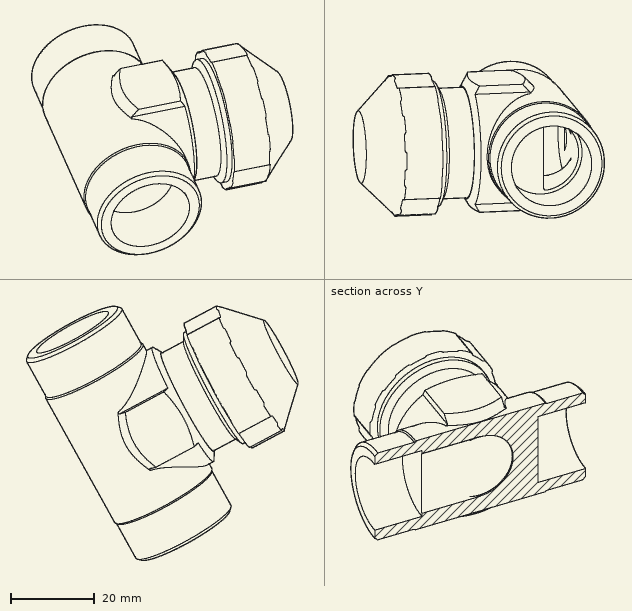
import cadquery as cq
import math


trim_clearance = 0.55

run_length = 56.0
spigot_radius = 13.0
spigot_edge_chamfer = 0.8
sleeve_radius = 13.3
sleeve_length = 34.4
sleeve_cone_length = 0.4

bore_radius = 9.75
bore_depth = 12.55
port_radius = 8.9
port_top_y = -0.45
port_corner_fillet = 0.55
chamber_radius = 8.7
chamber_floor_y = -8.4

hub_radius = 15.45
hub_root_y = -2.8
hub_bottom_y = 1.45
hub_shoulder_y = 14.7
hub_top_y = 15.95
hub_top_radius = 13.45
flat_width = 15.2

neck_radius = 13.2
collar_radius = 15.0
collar_cone_bottom_y = 22.0
collar_cone_top_y = 22.95
nut_bottom_y = 24.25

nut_top_y = 41.3
nut_diameter = 34.0
nut_radius = nut_diameter / 2
nut_top_radius = 8.6
nut_root_radius = 16.6
nut_cone_bottom_y = nut_top_y - (nut_root_radius - nut_top_radius)
rib_chamfer_height = 0.35
rib_count = 12
rib_pitch = 360 / rib_count
groove_floor_half_angle = 6.0
groove_flank_half_angle = 7.5
groove_mouth_half_angle = 9.0


def revolve_about_branch(points):
    """Solid of revolution about Y from an outline of (radius, y) points."""
    return cq.Workplane("XY").polyline(points).close().revolve(360, (0, 0, 0), (0, 1, 0))


def cylinder_along_x(radius, start_x, length):
    return cq.Workplane("YZ").workplane(offset=start_x).circle(radius).extrude(length)


def make_run_pipe():
    spigots = cylinder_along_x(spigot_radius, -run_length / 2, run_length)
    spigots = spigots.faces("<X or >X").chamfer(spigot_edge_chamfer)
    shoulder_x = sleeve_length / 2
    foot_x = shoulder_x + sleeve_cone_length
    sleeve = (
        cq.Workplane("XY")
        .polyline([
            (-foot_x, 0), (-foot_x, spigot_radius), (-shoulder_x, sleeve_radius),
            (shoulder_x, sleeve_radius), (foot_x, spigot_radius), (foot_x, 0),
        ])
        .close()
        .revolve(360, (0, 0, 0), (1, 0, 0))
    )
    return spigots.union(sleeve)


def make_hub():
    """Round hub plus a block with two flats, both trimmed by the same pair of cones."""
    corner_radius = math.hypot(flat_width / 2, hub_radius) + trim_clearance
    overhang = corner_radius - hub_radius
    top_slope = (hub_top_y - hub_shoulder_y) / (hub_radius - hub_top_radius)
    cone_envelope = revolve_about_branch([
        (0, hub_root_y),
        (hub_radius - (hub_bottom_y - hub_root_y), hub_root_y),
        (corner_radius, hub_bottom_y + overhang),
        (corner_radius, hub_shoulder_y - overhang * top_slope),
        (hub_top_radius, hub_top_y),
        (0, hub_top_y),
    ])
    hub_height = hub_top_y - hub_root_y
    hub_base = cq.Workplane("XZ", origin=(0, hub_root_y, 0))
    barrel = hub_base.circle(hub_radius).extrude(-hub_height)
    flats = hub_base.rect(flat_width, 2 * hub_radius).extrude(-hub_height)
    return barrel.union(flats).intersect(cone_envelope)


def make_passage():
    """D-shaped port from the inlet bore into a round chamber under the branch."""
    wall_x = run_length / 2 - bore_depth
    corner_z = math.sqrt(port_radius**2 - port_top_y**2)
    port = (
        cq.Workplane("YZ")
        .moveTo(port_top_y, -corner_z)
        .threePointArc((-port_radius, 0), (port_top_y, corner_z))
        .close()
        .extrude(-wall_x)
        .edges("|X")
        .fillet(port_corner_fillet)
    )
    chamber = revolve_about_branch([
        (0, chamber_floor_y), (chamber_radius, chamber_floor_y),
        (chamber_radius, port_top_y), (0, port_top_y),
    ])
    return port.union(chamber)


def make_housing():
    housing = make_run_pipe().union(make_hub())
    for start_x in (-run_length / 2, run_length / 2 - bore_depth):
        housing = housing.cut(cylinder_along_x(bore_radius, start_x, bore_depth))
    return housing.cut(make_passage())


def make_bonnet():
    return revolve_about_branch([
        (0, hub_top_y),
        (neck_radius, hub_top_y),
        (neck_radius, collar_cone_bottom_y),
        (collar_radius, collar_cone_top_y),
        (collar_radius, nut_bottom_y),
        (0, nut_bottom_y),
    ])


def polar(radius, angle):
    return (radius * math.cos(math.radians(angle)), radius * math.sin(math.radians(angle)))


def make_ribbed_prism():
    """Prism with ribs and grooves all round; each flank is an S of two tangent arcs."""
    flank_radius = (nut_radius + nut_root_radius) / 2
    outline = cq.Workplane("XZ", origin=(0, nut_bottom_y, 0))
    outline = outline.moveTo(*polar(nut_root_radius, -groove_floor_half_angle))
    for index in range(rib_count):
        groove = index * rib_pitch
        rib = groove + rib_pitch / 2
        next_groove = groove + rib_pitch
        outline = (
            outline
            .threePointArc(
                polar(nut_root_radius, groove),
                polar(nut_root_radius, groove + groove_floor_half_angle),
            )
            .tangentArcPoint(polar(flank_radius, groove + groove_flank_half_angle), relative=False)
            .tangentArcPoint(polar(nut_radius, groove + groove_mouth_half_angle), relative=False)
            .threePointArc(
                polar(nut_radius, rib),
                polar(nut_radius, next_groove - groove_mouth_half_angle),
            )
            .tangentArcPoint(polar(flank_radius, next_groove - groove_flank_half_angle), relative=False)
            .tangentArcPoint(
                polar(nut_root_radius, next_groove - groove_floor_half_angle), relative=False
            )
        )
    prism = outline.close().extrude(nut_bottom_y - nut_top_y)
    return prism.rotate((0, 0, 0), (0, 1, 0), rib_pitch / 2)


def make_nut():
    """Ribbed prism trimmed by the end cone and, on the ribs only, by a chamfer."""
    chamfer_slope = rib_chamfer_height / (nut_radius - nut_root_radius)
    trim_radius = nut_radius + trim_clearance
    cone_envelope = revolve_about_branch([
        (0, nut_bottom_y),
        (trim_radius, nut_bottom_y),
        (trim_radius, nut_cone_bottom_y - (trim_radius - nut_root_radius) * chamfer_slope),
        (nut_root_radius, nut_cone_bottom_y),
        (nut_top_radius, nut_top_y),
        (0, nut_top_y),
    ])
    return make_ribbed_prism().intersect(cone_envelope)


housing = make_housing()
bonnet = make_bonnet()
nut = make_nut()

result = cq.Compound.makeCompound([
    housing.solids().val(),
    bonnet.solids().val(),
    nut.solids().val(),
])